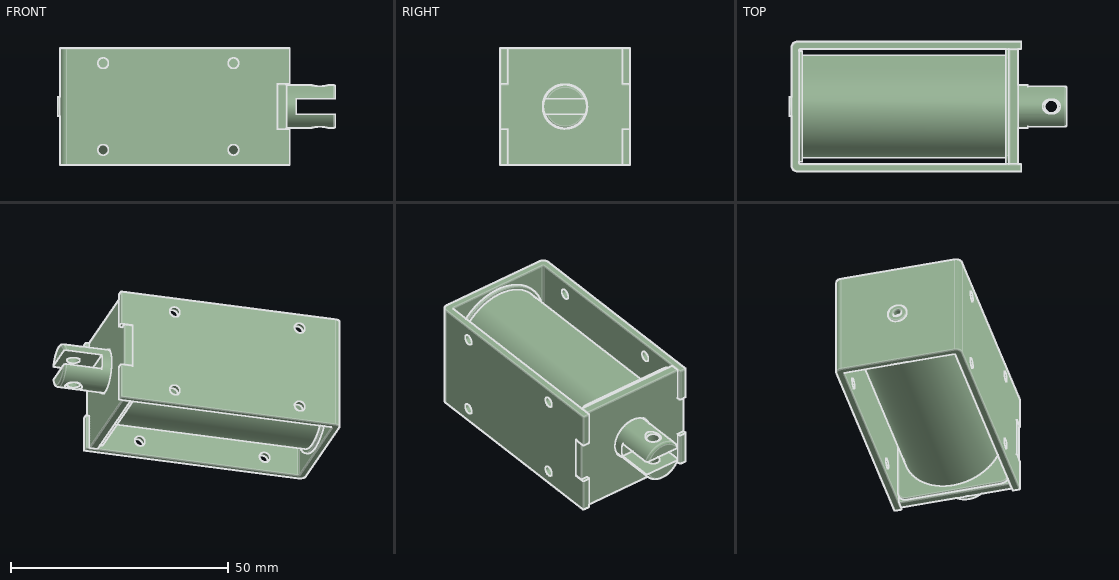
import cadquery as cq
edge_radius = 0.2

frame_length = 53.0
frame_width = 30.0
frame_height = 27.0
frame_thickness = 1.8
outer_bend_radius = 1.5
inner_bend_radius = 0.3
mount_hole_diameter = 2.4
mount_hole_xs = (10.0, 40.0)
mount_hole_z = 10.0
inner_width = frame_width - 2 * frame_thickness

plate_thickness = 2.1
plate_setback = 0.8
plate_end = frame_length - plate_setback
plate_start = plate_end - plate_thickness
tab_height = 10.4

flange_thickness = 0.8
round_flange_diameter = 25.6
square_flange_corner = 2.0
barrel_diameter = 12.6
bore_diameter = 10.4
winding_diameter = 23.7
bobbin_start = frame_thickness
bobbin_end = plate_start
winding_start = bobbin_start + flange_thickness
winding_end = bobbin_end - flange_thickness

core_diameter = 10.3
rivet_diameter = 4.5
rivet_projection = 0.5
rivet_hole_diameter = 2.0
rivet_hole_depth = 2.0
core_end = 25.6

plunger_diameter = 10.0
plunger_end = 64 - rivet_projection
plunger_tip_radius = 0.5
fork_slot_width = 3.5
fork_slot_depth = 9.0
pin_hole_diameter = 3.0
pin_hole_countersink = 0.5
pin_hole_setback = 3.6


def x_cylinder(diameter, start, end):
    """Solid cylinder along the X axis between two x positions."""
    return cq.Workplane("YZ", origin=(start, 0, 0)).circle(diameter / 2).extrude(end - start)


def x_block(start, end, width, height):
    """Rectangular block centred on the X axis between two x positions."""
    return cq.Workplane("YZ", origin=(start, 0, 0)).rect(width, height).extrude(end - start)


def make_frame():
    body = x_block(0, frame_length, frame_width, frame_height)
    body = body.edges("|Z and <X").fillet(outer_bend_radius)
    inside = x_block(frame_thickness, frame_length, inner_width, frame_height)
    body = body.cut(inside.edges("|Z and <X").fillet(inner_bend_radius))
    body = body.faces("|Z or >X").edges().fillet(edge_radius)
    tab_notches = x_block(plate_start, frame_length, frame_width, tab_height)
    mount_holes = (
        cq.Workplane("XZ")
        .pushPoints([(x, z) for x in mount_hole_xs for z in (-mount_hole_z, mount_hole_z)])
        .circle(mount_hole_diameter / 2)
        .extrude(frame_width, both=True)
    )
    rivet_hole = x_cylinder(rivet_diameter, 0, frame_thickness)
    return body.cut(tab_notches).cut(mount_holes).cut(rivet_hole)


def make_end_plate():
    plate = x_block(plate_start, plate_end, inner_width, frame_height)
    tabs = x_block(plate_start, plate_end, frame_width, tab_height)
    plate = plate.union(tabs).edges().fillet(edge_radius)
    return plate.cut(x_cylinder(bore_diameter, plate_start, plate_end))


def make_bobbin():
    barrel = x_cylinder(barrel_diameter, bobbin_start, bobbin_end)
    round_flange = x_cylinder(round_flange_diameter, bobbin_start, winding_start)
    round_flange = round_flange.edges().fillet(edge_radius)
    square_flange = x_block(winding_end, bobbin_end, inner_width, inner_width)
    square_flange = square_flange.edges("|X").fillet(square_flange_corner)
    square_flange = square_flange.faces("<X or >X").edges().fillet(edge_radius)
    bore = x_cylinder(bore_diameter, bobbin_start, bobbin_end)
    return barrel.union(round_flange).union(square_flange).cut(bore)


def make_winding():
    barrel = x_cylinder(barrel_diameter, winding_start, winding_end)
    return x_cylinder(winding_diameter, winding_start, winding_end).cut(barrel)


def make_core():
    stop = x_cylinder(core_diameter, frame_thickness, core_end)
    rivet = x_cylinder(rivet_diameter, -rivet_projection, frame_thickness)
    rivet_hole = x_cylinder(rivet_hole_diameter, -rivet_projection, rivet_hole_depth - rivet_projection)
    return stop.union(rivet).cut(rivet_hole).faces("<X").edges().fillet(edge_radius)


def make_plunger():
    rod = x_cylinder(plunger_diameter, core_end, plunger_end)
    rod = rod.faces(">X").edges().fillet(plunger_tip_radius)
    slot = x_block(plunger_end - fork_slot_depth, plunger_end, plunger_diameter, fork_slot_width)
    pin_hole = (
        cq.Workplane("XY", origin=(plunger_end - pin_hole_setback, 0, 0))
        .circle(pin_hole_diameter / 2)
        .extrude(plunger_diameter, both=True)
    )
    top_radius = pin_hole_diameter / 2 + pin_hole_countersink
    profile = [
        (0, plunger_diameter / 2),
        (top_radius, plunger_diameter / 2),
        (0, plunger_diameter / 2 - top_radius),
    ]
    countersink = (
        cq.Workplane("XZ", origin=(plunger_end - pin_hole_setback, 0, 0))
        .polyline(profile)
        .close()
        .revolve(360, (0, 0, 0), (0, 1, 0))
    )
    rod = rod.cut(slot).cut(pin_hole)
    return rod.cut(countersink).cut(countersink.mirror("XY"))


frame = make_frame()
end_plate = make_end_plate()
bobbin = make_bobbin()
winding = make_winding()
core = make_core()
plunger = make_plunger()

bodies = (frame, end_plate, bobbin, winding, core, plunger)
result = cq.Compound.makeCompound([body.val() for body in bodies])